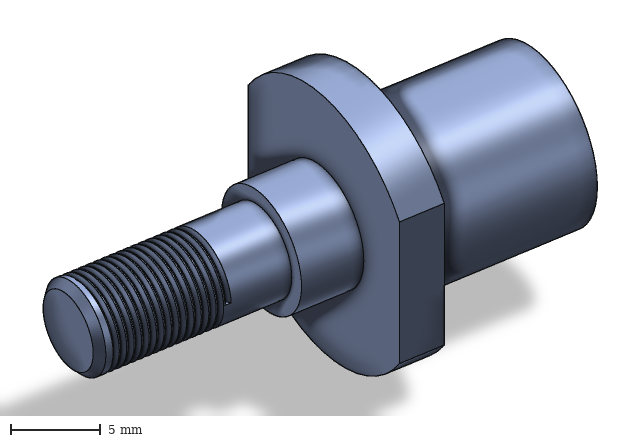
import cadquery as cq

total_length = 31.7

barrel_diameter = 11.4
barrel_length = 11.5

flange_diameter = 18.0
flange_width = 15.0
flange_thickness = 3.0

collar_diameter = 7.92
collar_length = 4.2

shank_diameter = 6.0
shank_length = total_length - barrel_length - flange_thickness - collar_length
tip_chamfer = 0.5

thread_start = 8.72
thread_travel = 7.9
thread_turns = 15.75
thread_pitch = thread_travel / thread_turns
groove_width = 0.4
groove_depth = 0.25
groove_overrun = 0.015


def stacked_disc(body, diameter, length):
    """Add a round step on the +Z end of a body standing on Z."""
    return body.faces(">Z").workplane().circle(diameter / 2).extrude(length)


def make_flange():
    """Round flange with two parallel flats facing -X and +X."""
    disc = cq.Workplane("XY").circle(flange_diameter / 2).extrude(flange_thickness)
    slab = cq.Workplane("XY").rect(flange_width, flange_diameter).extrude(flange_thickness)
    return disc.intersect(slab)


def make_thread_groove():
    """Helical V cutter around Z, starting on the +X side and rising from Z = 0."""
    radius = shank_diameter / 2
    outer_half_width = groove_width / 2 * (groove_depth + groove_overrun) / groove_depth
    helix = cq.Wire.makeHelix(thread_pitch, thread_travel, radius)
    profile = (
        cq.Workplane("XZ")
        .moveTo(radius - groove_depth, 0)
        .lineTo(radius + groove_overrun, outer_half_width)
        .lineTo(radius + groove_overrun, -outer_half_width)
        .close()
    )
    return profile.sweep(cq.Workplane(obj=helix), isFrenet=True)


body = cq.Workplane("XY").circle(barrel_diameter / 2).extrude(barrel_length)
body = body.union(make_flange().translate((0, 0, barrel_length)))
body = stacked_disc(body, collar_diameter, collar_length)
body = stacked_disc(body, shank_diameter, shank_length)
body = body.faces(">Z").chamfer(tip_chamfer)

groove = make_thread_groove()
body = body.cut(groove.translate((0, 0, total_length - thread_start)))

result = body.rotate((0, 0, 0), (1, 0, 0), 90)